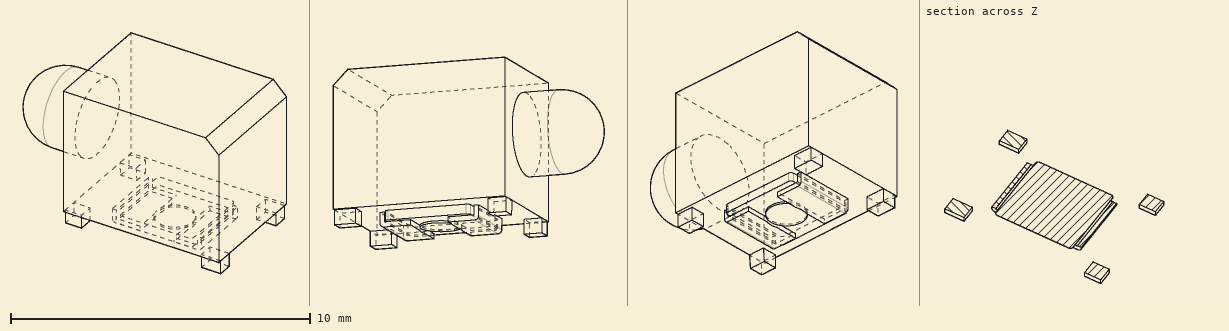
import cadquery as cq


housing_length = 6.10
housing_width = 4.32
housing_height = 4.75
rear_chamfer = 0.52
front_x = -housing_length / 2
rear_x = housing_length / 2

lens_diameter = 2.84
lens_radius = lens_diameter / 2
lens_reach = 2.67
lens_axis_z = 2.54

foot_height = 0.51
front_foot_length = 0.64
rear_foot_length = 0.76
foot_inner_y = 1.49
foot_outer_y = 2.04
foot_lean = 0.05

base_length = 3.02
base_width = 2.76
base_corner_radius = 0.12
terminal_span = 3.50
terminal_width = 2.30
terminal_gap = 1.32
terminal_wall = 0.16
terminal_plate = 0.18
terminal_bend_radius = 0.14
pad_diameter = 1.40
pad_thickness = 0.07
base_height = foot_height - terminal_plate


def make_housing():
    """Block with a chamfer along its upper rear edge."""
    block = cq.Workplane("XY").box(
        housing_length, housing_width, housing_height, centered=(True, True, False)
    )
    return block.edges(">X and >Z").chamfer(rear_chamfer)


def make_lens():
    """Cylinder ending in a hemisphere, standing on the front face."""
    dome_x = front_x - lens_reach + lens_radius
    half_profile = (
        cq.Workplane("XZ")
        .moveTo(front_x, lens_axis_z)
        .lineTo(front_x, lens_axis_z + lens_radius)
        .lineTo(dome_x, lens_axis_z + lens_radius)
        .radiusArc((dome_x - lens_radius, lens_axis_z), -lens_radius)
        .close()
    )
    return half_profile.revolve(360, (front_x, lens_axis_z), (dome_x, lens_axis_z))


def make_foot(start_x, length, side, lean):
    """Foot on the side (+1 or -1) of Y; its inner face leans inward at the top by lean."""
    section = (
        cq.Workplane("YZ", origin=(start_x, 0, 0))
        .moveTo(side * foot_outer_y, 0)
        .lineTo(side * foot_outer_y, -foot_height)
        .lineTo(side * foot_inner_y, -foot_height)
        .lineTo(side * (foot_inner_y - lean), 0)
        .close()
    )
    return section.extrude(length)


def make_base():
    """Flat block with rounded upright corners."""
    block = cq.Workplane("XY").box(
        base_length, base_width, base_height, centered=(True, True, False)
    )
    return block.edges("|Z").fillet(base_corner_radius).translate((0, 0, -base_height))


def make_pad(thickness):
    """Round pad hanging from the underside of the base."""
    return (
        cq.Workplane("XY", origin=(0, 0, -base_height))
        .circle(pad_diameter / 2)
        .extrude(-thickness)
    )


def make_terminal(side):
    """L-shaped strip wrapping the base at the side (+1 or -1) of X, notched around the pad."""
    outer_x = side * terminal_span / 2
    inner_x = side * (terminal_span / 2 - terminal_wall)
    end_x = side * terminal_gap / 2
    strip = (
        cq.Workplane("XZ")
        .moveTo(outer_x, 0)
        .lineTo(outer_x, -foot_height)
        .lineTo(end_x, -foot_height)
        .lineTo(end_x, -base_height)
        .lineTo(inner_x, -base_height)
        .lineTo(inner_x, 0)
        .close()
        .extrude(terminal_width / 2, both=True)
    )
    bend_edge = ">X and <Z" if side > 0 else "<X and <Z"
    return strip.edges(bend_edge).fillet(terminal_bend_radius).cut(make_pad(terminal_plate))


housing = make_housing()
lens = make_lens()
base = make_base()
pad = make_pad(pad_thickness)
terminals = [make_terminal(side) for side in (-1, 1)]

feet = []
for side in (-1, 1):
    front_lean = foot_lean if side > 0 else 0
    feet.append(make_foot(front_x, front_foot_length, side, front_lean))
    feet.append(make_foot(rear_x - rear_foot_length, rear_foot_length, side, 0))

result = cq.Compound.makeCompound(
    [
        housing.val(),
        lens.val(),
        base.val(),
        pad.val(),
        *[terminal.val() for terminal in terminals],
        *[foot.val() for foot in feet],
    ]
)